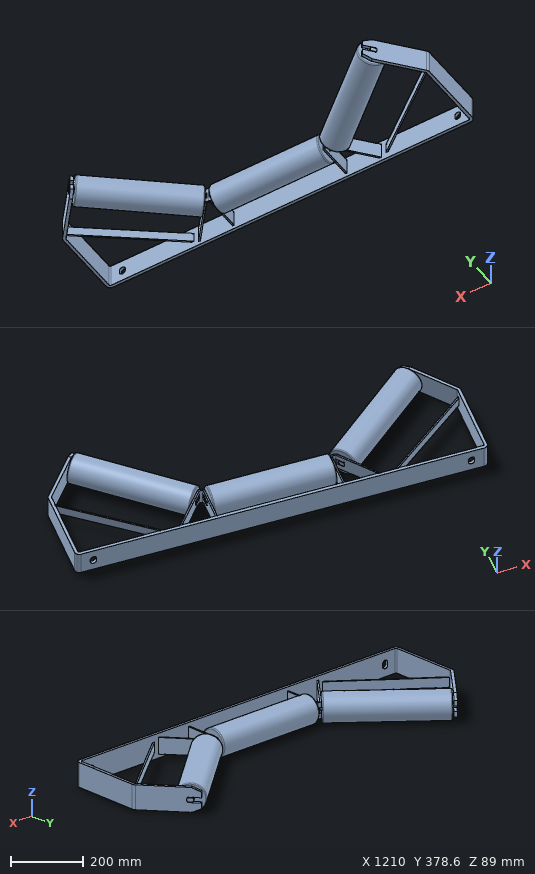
import cadquery as cq
import math

FRAME_LENGTH = 1210.0
FRAME_HEIGHT = 378.64
TILT = math.radians(40)

STRIP_WIDTH = 75.0
FRAME_THICKNESS = 10.0
FRAME_BEND = 9.0
UPRIGHT_HEIGHT = 233.5
WING_TIP_WIDTH = 50.0
WING_TIP_TAPER = 28.0
MOUNT_SLOT_WIDTH = 18.0
MOUNT_SLOT_HEIGHT = 25.0
MOUNT_SLOT_INSET = 51.0

ROLLER_DIAMETER = 89.0
ROLLER_LENGTH = 360.0
ROLLER_FILLET = 3.0
SHAFT_DIAMETER = 20.0
SHAFT_FLATS = 13.0
SHAFT_SLOT_WIDTH = 16.0
AXIS_BELOW_TIP = 31.5
CENTRE_AXIS_Y = 100.0
WING_GAP = 4.0
SIDE_GAP = 1.5
CENTRE_GAP = 4.0

BRACKET_THICKNESS = 5.0
BRACKET_WIDTH = 50.0
BRACKET_BEND = 4.0
BRACKET_TOP = 129.0

BRACE_THICKNESS = 5.0
BRACE_WIDTH = 30.0
BRACE_TOP = 222.0
BRACE_FOOT_X = -321.0

HALF_LENGTH = FRAME_LENGTH / 2
SHAFT_AXIS = cq.Vector(math.cos(TILT), -math.sin(TILT), 0)
WING_AXIS = cq.Vector(math.sin(TILT), math.cos(TILT), 0)
wing_corner = cq.Vector(-HALF_LENGTH, UPRIGHT_HEIGHT, 0)
wing_length = (FRAME_HEIGHT - UPRIGHT_HEIGHT) / math.cos(TILT)
wing_tip = wing_corner + WING_AXIS * wing_length
side_shaft_start = wing_tip - WING_AXIS * AXIS_BELOW_TIP
side_shaft_length = FRAME_THICKNESS + WING_GAP + ROLLER_LENGTH + SIDE_GAP + BRACKET_THICKNESS
side_shaft_end = side_shaft_start + SHAFT_AXIS * side_shaft_length
centre_shaft_length = ROLLER_LENGTH + 2 * (CENTRE_GAP + BRACKET_THICKNESS)
centre_shaft_start = cq.Vector(-centre_shaft_length / 2, CENTRE_AXIS_Y, 0)


def mirrored(body):
    return body.mirror("YZ")


def bent_strip(points, thickness, width, bend):
    """Flat strip on edge, following a centreline with rounded corners."""
    first_direction = (points[1] - points[0]).normalized()
    section = cq.Plane(origin=points[0], xDir=(0, 0, 1), normal=first_direction)
    path = cq.Workplane("XY").moveTo(points[0].x, points[0].y)
    for before, corner, after in zip(points, points[1:], points[2:]):
        to_before = (before - corner).normalized()
        to_after = (after - corner).normalized()
        half_angle = to_before.getAngle(to_after) / 2
        tangent_length = bend / math.tan(half_angle)
        bisector = (to_before + to_after).normalized()
        start = corner + to_before * tangent_length
        middle = corner + bisector * (bend / math.sin(half_angle) - bend)
        end = corner + to_after * tangent_length
        path = path.lineTo(start.x, start.y).threePointArc((middle.x, middle.y), (end.x, end.y))
    path = path.lineTo(points[-1].x, points[-1].y)
    return cq.Workplane(section).rect(width, thickness).sweep(path)


def shaft_slot(axis_start, axis, open_direction, length):
    """Cutter for an open slot with a round bottom that seats the flatted shaft."""
    plane = cq.Plane(origin=axis_start, xDir=open_direction, normal=axis)
    bore = cq.Workplane(plane).circle(SHAFT_DIAMETER / 2).extrude(length)
    seat = cq.Workplane(plane).rect(SHAFT_DIAMETER, SHAFT_SLOT_WIDTH).extrude(length).intersect(bore)
    reach = AXIS_BELOW_TIP + SHAFT_DIAMETER
    channel = cq.Workplane(plane).center(reach / 2, 0).rect(reach, SHAFT_SLOT_WIDTH).extrude(length)
    return seat.union(channel)


def above_base(body):
    """Trim a welded part flat against the base and the left upright."""
    room = cq.Workplane("XY").box(HALF_LENGTH, FRAME_HEIGHT, STRIP_WIDTH, centered=(False, False, True))
    corner = (FRAME_THICKNESS - HALF_LENGTH, FRAME_THICKNESS, 0)
    return body.intersect(room.translate(corner))


def build_frame():
    half_thickness = FRAME_THICKNESS / 2
    corner_shift = half_thickness * math.tan(TILT / 2)
    tip = wing_tip + SHAFT_AXIS * half_thickness
    upright_top = cq.Vector(half_thickness - HALF_LENGTH, UPRIGHT_HEIGHT - corner_shift, 0)
    base_corner = cq.Vector(half_thickness - HALF_LENGTH, half_thickness, 0)
    left = [tip, upright_top, base_corner]
    right = [cq.Vector(-p.x, p.y, 0) for p in reversed(left)]
    frame = bent_strip(left + right, FRAME_THICKNESS, STRIP_WIDTH, FRAME_BEND)

    for side in (-1, 1):
        slot = (
            cq.Workplane("XZ", origin=(side * (HALF_LENGTH - MOUNT_SLOT_INSET), 0, 0))
            .slot2D(MOUNT_SLOT_HEIGHT, MOUNT_SLOT_WIDTH, 90)
            .extrude(-FRAME_THICKNESS)
        )
        frame = frame.cut(slot)

    half_width = STRIP_WIDTH / 2
    tip_plane = cq.Plane(origin=wing_tip, xDir=WING_AXIS, normal=SHAFT_AXIS)
    for side in (-1, 1):
        corner_cut = (
            cq.Workplane(tip_plane)
            .polyline([
                (0, side * half_width),
                (-WING_TIP_TAPER, side * half_width),
                (0, side * WING_TIP_WIDTH / 2),
            ])
            .close()
            .extrude(FRAME_THICKNESS)
        )
        frame = frame.cut(corner_cut).cut(mirrored(corner_cut))

    slot = shaft_slot(side_shaft_start, SHAFT_AXIS, WING_AXIS, FRAME_THICKNESS)
    return frame.cut(slot).cut(mirrored(slot))


def build_roller(shaft_start, axis, shaft_length, first_end):
    plane = cq.Plane(origin=shaft_start, xDir=(0, 0, 1), normal=axis)
    shaft = (
        cq.Workplane(plane)
        .circle(SHAFT_DIAMETER / 2)
        .extrude(shaft_length)
        .intersect(cq.Workplane(plane).rect(SHAFT_FLATS, SHAFT_DIAMETER).extrude(shaft_length))
    )
    shell = (
        cq.Workplane(plane)
        .workplane(offset=first_end)
        .circle(ROLLER_DIAMETER / 2)
        .extrude(ROLLER_LENGTH)
        .edges()
        .fillet(ROLLER_FILLET)
    )
    return shell.union(shaft)


def build_bracket():
    half_thickness = BRACKET_THICKNESS / 2
    bridge_y = BRACKET_TOP - half_thickness
    leg_point = side_shaft_end - SHAFT_AXIS * half_thickness
    leg_top = leg_point + WING_AXIS * ((bridge_y - leg_point.y) / WING_AXIS.y)
    leg_foot = leg_point - WING_AXIS * (leg_point.y / WING_AXIS.y)
    upright_x = centre_shaft_start.x + half_thickness
    points = [leg_foot, leg_top, cq.Vector(upright_x, bridge_y, 0), cq.Vector(upright_x, 0, 0)]
    bracket = above_base(bent_strip(points, BRACKET_THICKNESS, BRACKET_WIDTH, BRACKET_BEND))

    side_slot_start = side_shaft_end - SHAFT_AXIS * BRACKET_THICKNESS
    side_slot = shaft_slot(side_slot_start, SHAFT_AXIS, WING_AXIS, BRACKET_THICKNESS)
    centre_slot = shaft_slot(centre_shaft_start, cq.Vector(1, 0, 0), cq.Vector(0, 1, 0), BRACKET_THICKNESS)
    return bracket.cut(side_slot).cut(centre_slot)


def build_brace():
    top = cq.Vector(FRAME_THICKNESS - HALF_LENGTH, BRACE_TOP, 0)
    foot = cq.Vector(BRACE_FOOT_X, FRAME_THICKNESS, 0)
    overrun = (foot - top).normalized() * (2 * BRACE_THICKNESS)
    bar = bent_strip([top - overrun, foot + overrun], BRACE_THICKNESS, BRACE_WIDTH, 0)
    return above_base(bar)


frame = build_frame()
side_roller = build_roller(side_shaft_start, SHAFT_AXIS, side_shaft_length, FRAME_THICKNESS + WING_GAP)
centre_roller = build_roller(
    centre_shaft_start, cq.Vector(1, 0, 0), centre_shaft_length, BRACKET_THICKNESS + CENTRE_GAP
)

bodies = [frame, centre_roller]
for left_body in (side_roller, build_bracket(), build_brace()):
    bodies += [left_body, mirrored(left_body)]

result = cq.Compound.makeCompound([body.solids().val() for body in bodies])